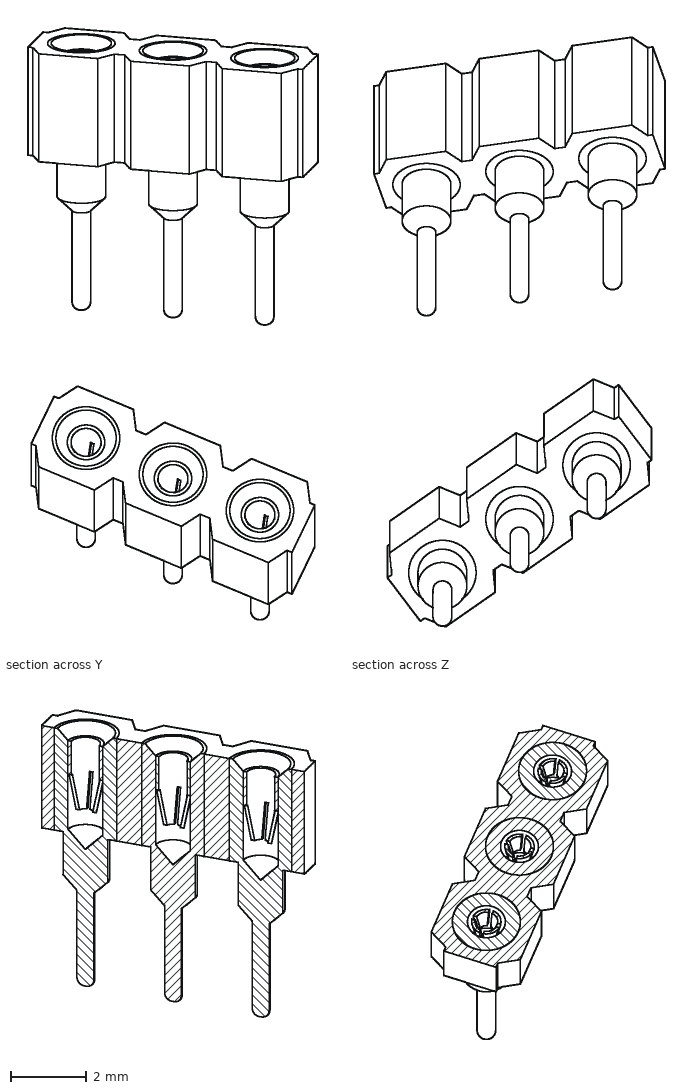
import cadquery as cq
import math

contact_count = 3
row_length = 7.62
pitch = row_length / contact_count
contact_positions = [(i - (contact_count - 1) / 2) * pitch for i in range(contact_count)]

housing_height = 3.0
housing_half_width = pitch / 2
neck_half_width = 0.75
cell_flat_half_length = 0.815
cell_base_half_length = 1.13

head_diameter = 1.8
body_diameter = 1.3
tail_diameter = 0.5
overall_height = 7.4
body_length = 1.25
taper_height = 0.39
tail_tip_radius = 0.22
tail_bottom = housing_height - overall_height
tail_top = -body_length - taper_height

funnel_diameter = 1.61
funnel_depth = 0.305
bore_diameter = 1.0
bore_length = 2.59
bore_tip_angle = 90.0
bore_top = housing_height - funnel_depth
bore_bottom = bore_top - bore_length
bore_tip_height = bore_diameter / 2 / math.tan(math.radians(bore_tip_angle / 2))

clip_bore_diameter = 0.8
clip_wall = (bore_diameter - clip_bore_diameter) / 2
collar_length = 1.0
finger_length = 1.0
finger_tip_bore_diameter = 0.4
finger_slot_width = 0.1
collar_bottom = bore_top - collar_length
finger_bottom = collar_bottom - finger_length


def revolve_profile(profile):
    """Turn a closed half-profile, drawn as (radius, height), about the Z axis."""
    return profile.close().revolve(360, (0, 0, 0), (0, 1, 0))


def make_housing():
    """Row of octagonal cells joined by narrower necks, bored through for the sleeves."""
    housing = cq.Workplane("XY").box(
        row_length, 2 * neck_half_width, housing_height, centered=(True, True, False)
    )
    upper_right_corner = [
        (cell_base_half_length, neck_half_width),
        (cell_flat_half_length, housing_half_width),
    ]
    lower_right_corner = [(x, -y) for x, y in upper_right_corner[::-1]]
    right_side = lower_right_corner + upper_right_corner
    left_side = [(-x, -y) for x, y in right_side]
    for x in contact_positions:
        cell = cq.Workplane("XY").polyline(right_side + left_side).close().extrude(housing_height)
        housing = housing.union(cell.translate((x, 0, 0)))
    bores = (
        cq.Workplane("XY")
        .pushPoints([(x, 0) for x in contact_positions])
        .circle(head_diameter / 2)
        .extrude(housing_height)
    )
    return housing.cut(bores)


def make_sleeve(x):
    """Turned sleeve with a round-ended solder tail and a blind, funnelled socket."""
    tail_radius = tail_diameter / 2
    sleeve = revolve_profile(
        cq.Workplane("XZ")
        .moveTo(0, housing_height)
        .lineTo(head_diameter / 2, housing_height)
        .lineTo(head_diameter / 2, 0)
        .lineTo(body_diameter / 2, 0)
        .lineTo(body_diameter / 2, -body_length)
        .lineTo(tail_radius, tail_top)
        .lineTo(tail_radius, tail_bottom)
        .lineTo(0, tail_bottom)
    )
    sleeve = sleeve.faces("<Z").edges().fillet(tail_tip_radius)
    socket = revolve_profile(
        cq.Workplane("XZ")
        .moveTo(0, housing_height)
        .lineTo(funnel_diameter / 2, housing_height)
        .lineTo(bore_diameter / 2, bore_top)
        .lineTo(bore_diameter / 2, bore_bottom)
        .lineTo(0, bore_bottom - bore_tip_height)
    )
    return sleeve.cut(socket).translate((x, 0, 0))


def make_clip(x):
    """Spring clip at the top of the bore; two crossed slots part its four fingers."""
    finger_tip_radius = finger_tip_bore_diameter / 2
    clip = revolve_profile(
        cq.Workplane("XZ")
        .moveTo(clip_bore_diameter / 2, bore_top)
        .lineTo(bore_diameter / 2, bore_top)
        .lineTo(bore_diameter / 2, collar_bottom)
        .lineTo(finger_tip_radius + clip_wall, finger_bottom)
        .lineTo(finger_tip_radius, finger_bottom)
        .lineTo(clip_bore_diameter / 2, collar_bottom)
    )
    slot = (
        cq.Workplane("XY", origin=(0, 0, finger_bottom))
        .rect(bore_diameter, finger_slot_width)
        .extrude(finger_length)
    )
    for slot_angle in (0, 90):
        clip = clip.cut(slot.rotate((0, 0, 0), (0, 0, 1), slot_angle))
    return clip.translate((x, 0, 0))


housing = make_housing()
sleeves = [make_sleeve(x).val() for x in contact_positions]
clips = [make_clip(x).val() for x in contact_positions]

result = cq.Compound.makeCompound([housing.val(), *sleeves, *clips])